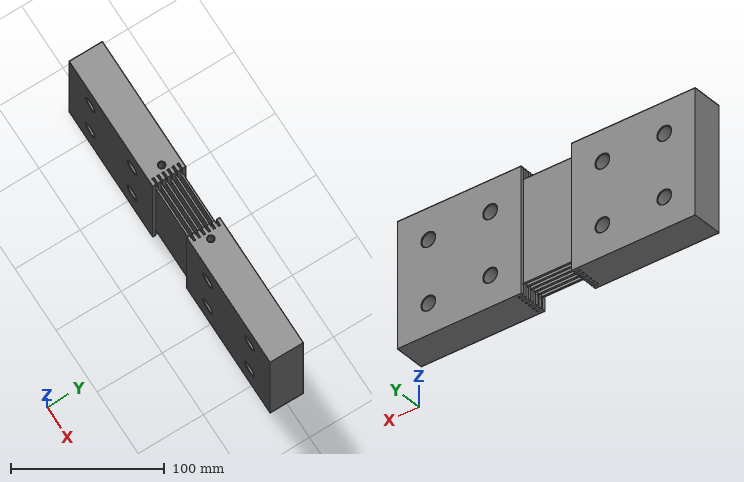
import cadquery as cq

total_length = 244.5
gap_length = 41.3
block_thickness = 25.5
block_size = (total_length - gap_length) / 2

mount_spacing = block_size / 2
mount_diameter = 11.0

pilot_diameter = 4.5
pilot_depth = 12.2
pilot_edge_distance = 9.3

rim_chamfer = 0.5

blade_count = 6
blade_span = 19.0
blade_thickness = 1.4
blade_height = 83.0
slot_depth = 4.6

block_center_x = (total_length - block_size) / 2
block_inner_x = gap_length / 2
block_top_z = block_size / 2
blade_length = gap_length + 2 * slot_depth
blade_pitch = blade_span / (blade_count - 1)
blade_positions = [i * blade_pitch - blade_span / 2 for i in range(blade_count)]


def mounting_hole(x, z):
    """Through hole along Y, chamfered at both faces of the block."""
    radius = mount_diameter / 2
    rim_radius = radius + rim_chamfer
    face_y = block_thickness / 2
    bore_end_y = face_y - rim_chamfer
    return (
        cq.Workplane("XY", origin=(x, 0, z))
        .moveTo(0, -face_y)
        .lineTo(rim_radius, -face_y)
        .lineTo(radius, -bore_end_y)
        .lineTo(radius, bore_end_y)
        .lineTo(rim_radius, face_y)
        .lineTo(0, face_y)
        .close()
        .revolve(360, (0, 0), (0, 1))
    )


def pilot_hole(x):
    """Chamfered blind hole along Z with a 90 degree drill point."""
    radius = pilot_diameter / 2
    floor_z = block_top_z - pilot_depth
    return (
        cq.Workplane("XZ", origin=(x, 0, 0))
        .moveTo(0, block_top_z)
        .lineTo(radius + rim_chamfer, block_top_z)
        .lineTo(radius, block_top_z - rim_chamfer)
        .lineTo(radius, floor_z)
        .lineTo(0, floor_z - radius)
        .close()
        .revolve(360, (0, 0), (0, 1))
    )


def blade_slot(x, y):
    """Full-height slot that seats the end of one blade."""
    return cq.Workplane("XY", origin=(x, y, 0)).box(slot_depth, blade_thickness, block_size)


def make_block(side):
    """End block; side is -1 for the block at -X and +1 for the block at +X."""
    center_x = side * block_center_x
    block = cq.Workplane("XY", origin=(center_x, 0, 0)).box(block_size, block_thickness, block_size)
    for x_offset in (-mount_spacing / 2, mount_spacing / 2):
        for z in (-mount_spacing / 2, mount_spacing / 2):
            block = block.cut(mounting_hole(center_x + x_offset, z))
    for y in blade_positions:
        block = block.cut(blade_slot(side * (block_inner_x + slot_depth / 2), y))
    return block.cut(pilot_hole(side * (block_inner_x + pilot_edge_distance)))


def make_blade(y):
    """Thin upright plate that bridges the gap and seats in both blocks."""
    return cq.Workplane("XY", origin=(0, y, 0)).box(blade_length, blade_thickness, blade_height)


blocks = [make_block(side) for side in (-1, 1)]
blades = [make_blade(y) for y in blade_positions]

result = cq.Compound.makeCompound([body.val() for body in blocks + blades])